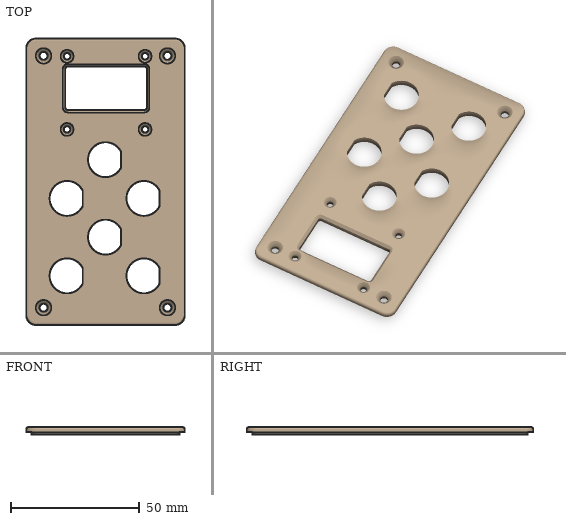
import cadquery as cq

length = 112.0
width = 62.0
thickness = 3.0
step_height = 1.0
rim_height = thickness - step_height
rim_round = 1.0
rim_corner_radius = 4.0
step_inset = 2.1
step_corner_radius = 3.0

countersink_angle = 90

fixing_inset = 6.8
fixing_bore = 3.0
fixing_head = 6.0

display_x = 0.2
window_y = 36.5
window_width = 31.8
window_height = 16.9
window_corner_radius = 1.0
window_bevel = 1.0
window_bevel_angle = 45
display_hole_y = 34.7
display_hole_spacing_x = 30.5
display_hole_spacing_y = 28.6
display_bore = 2.5
display_head = 5.0

switch_diameter = 13.5
switch_flat_offset = 6.0
switch_pitch_x = 15.0
switch_pitch_y = 15.1
switch_top_row_y = 8.6


def rounded_block(size_x, size_y, bottom, height, corner_radius):
    """Upright block centred on the Z axis with rounded vertical edges."""
    block = cq.Workplane("XY").workplane(offset=bottom).rect(size_x, size_y).extrude(height)
    return block.edges("|Z").fillet(corner_radius)


def plate():
    rim = rounded_block(width, length, step_height, rim_height, rim_corner_radius)
    rim = rim.faces(">Z").edges().fillet(rim_round)
    step_width = width - 2 * step_inset
    step_length = length - 2 * step_inset
    step = rounded_block(step_width, step_length, 0, step_height, step_corner_radius)
    return rim.union(step)


def countersunk_holes(body, center, spacing_x, spacing_y, bore, head):
    """Cut four countersunk holes on a rectangle around the given centre."""
    top = body.faces(">Z").workplane(origin=(center[0], center[1], thickness))
    corners = top.rect(spacing_x, spacing_y, forConstruction=True).vertices()
    return corners.cskHole(bore, head, countersink_angle)


def display_window():
    """Through opening that flares outward towards the top face."""
    opening = rounded_block(window_width, window_height, 0, thickness, window_corner_radius)
    flare_width = window_width + 2 * window_bevel
    flare_height = window_height + 2 * window_bevel
    flare_radius = window_corner_radius + window_bevel
    flare = (
        cq.Workplane("XY", origin=(0, 0, thickness))
        .sketch()
        .rect(flare_width, flare_height)
        .vertices()
        .fillet(flare_radius)
        .finalize()
        .extrude(-window_bevel, taper=window_bevel_angle)
    )
    return opening.union(flare).translate((display_x, window_y, 0))


def switch_opening(x, y):
    """Round opening with a flat on its +X side."""
    circle = cq.Workplane("XY").circle(switch_diameter / 2).extrude(thickness)
    beyond_flat = (
        cq.Workplane("XY")
        .center(switch_flat_offset + switch_diameter / 2, 0)
        .rect(switch_diameter, switch_diameter)
        .extrude(thickness)
    )
    return circle.cut(beyond_flat).translate((x, y, 0))


result = plate()
result = countersunk_holes(
    result,
    (0, 0),
    width - 2 * fixing_inset,
    length - 2 * fixing_inset,
    fixing_bore,
    fixing_head,
)
result = countersunk_holes(
    result,
    (display_x, display_hole_y),
    display_hole_spacing_x,
    display_hole_spacing_y,
    display_bore,
    display_head,
)
result = result.cut(display_window())

for row, columns in enumerate([(0,), (-1, 1), (0,), (-1, 1)]):
    for column in columns:
        opening = switch_opening(column * switch_pitch_x, switch_top_row_y - row * switch_pitch_y)
        result = result.cut(opening)